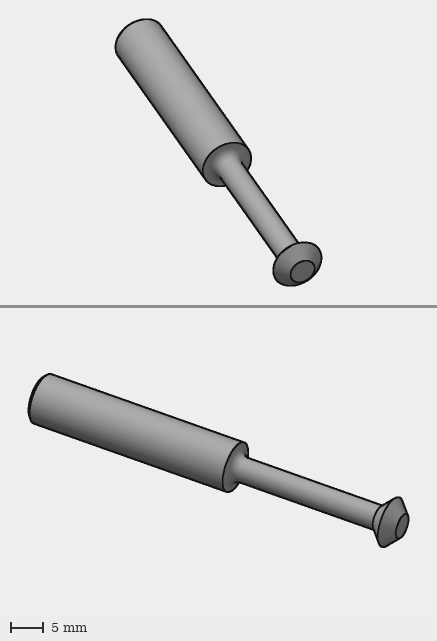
import cadquery as cq

total_length = 63.0
body_length = 34.0
body_diameter = 8.0
body_chamfer = 0.5
shank_diameter = 4.0
neck_fillet = 1.5
head_cone_length = 2.0

body_radius = body_diameter / 2
shank_radius = shank_diameter / 2
rear_x = -total_length / 2
front_x = total_length / 2
shoulder_x = rear_x + body_length
head_rim_x = front_x - head_cone_length
head_base_x = head_rim_x - head_cone_length
head_face_radius = body_radius - head_cone_length

profile = (
    cq.Workplane("XY")
    .moveTo(rear_x, 0)
    .lineTo(rear_x, body_radius - body_chamfer)
    .lineTo(rear_x + body_chamfer, body_radius)
    .lineTo(shoulder_x, body_radius)
    .lineTo(shoulder_x, shank_radius + neck_fillet)
    .radiusArc((shoulder_x + neck_fillet, shank_radius), -neck_fillet)
    .lineTo(head_base_x, shank_radius)
    .lineTo(head_rim_x, body_radius)
    .lineTo(front_x, head_face_radius)
    .lineTo(front_x, 0)
    .close()
)

result = profile.revolve(360, (0, 0, 0), (1, 0, 0))